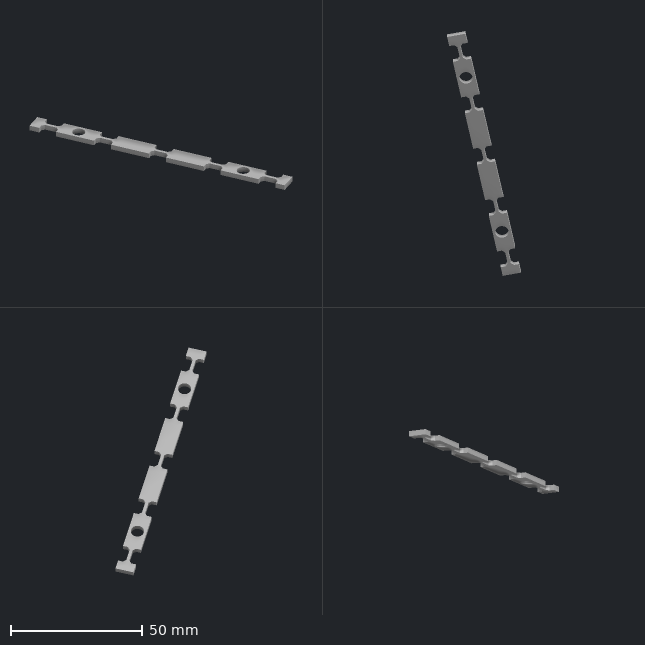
import cadquery as cq

length = 106.9
width = 7.1
thickness = 2.0

neck_count = 5
neck_pitch = 23.0
neck_gap = 7.1
pattern_offset = 0.1
neck_width = 1.2
corner_chamfer = 1.1

hole_diameter = 5.0
hole_spacing = 3 * neck_pitch


def side_notch(x_center, side):
    """Notch cut in from one long side (+1 or -1), with chamfered inner corners."""
    half_gap = neck_gap / 2
    edge_y = side * width / 2
    floor_y = side * neck_width / 2
    chamfer_y = floor_y + side * corner_chamfer
    return (
        cq.Workplane("XY")
        .polyline([
            (x_center - half_gap, edge_y),
            (x_center - half_gap, chamfer_y),
            (x_center - half_gap + corner_chamfer, floor_y),
            (x_center + half_gap - corner_chamfer, floor_y),
            (x_center + half_gap, chamfer_y),
            (x_center + half_gap, edge_y),
        ])
        .close()
        .extrude(thickness)
    )


result = cq.Workplane("XY").box(length, width, thickness, centered=(True, True, False))

for index in range(neck_count):
    neck_x = (index - (neck_count - 1) / 2) * neck_pitch + pattern_offset
    for side in (1, -1):
        result = result.cut(side_notch(neck_x, side))

hole_points = [(-hole_spacing / 2, 0), (hole_spacing / 2, 0)]
result = result.cut(
    cq.Workplane("XY").pushPoints(hole_points).circle(hole_diameter / 2).extrude(thickness)
)